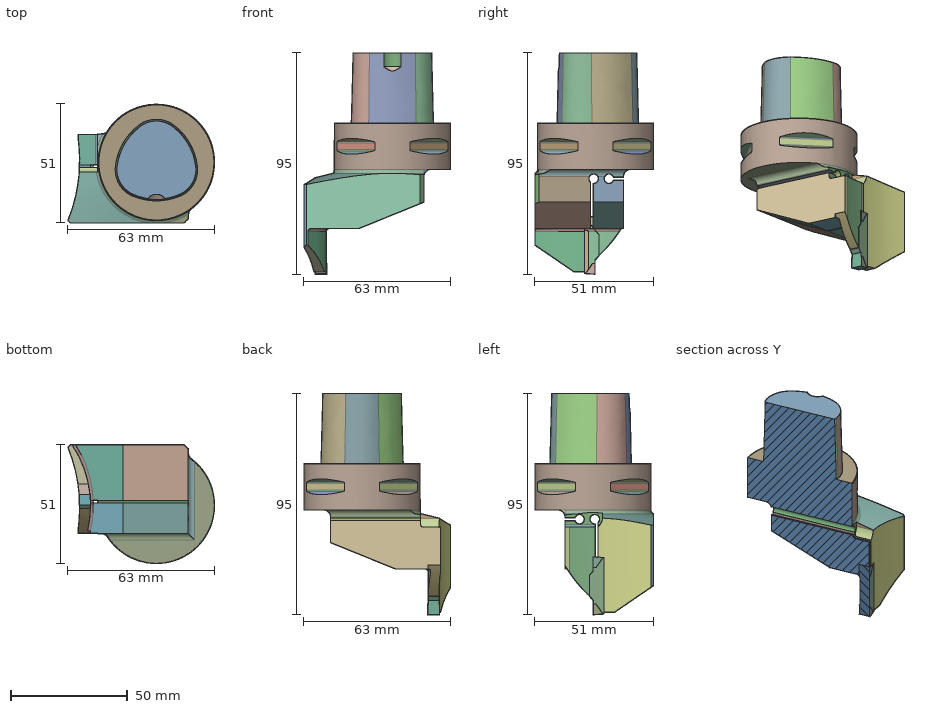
import cadquery as cq
import math


overall_length = 95.0

flange_radius = 25.0
flange_height = 20.0
flange_chamfer = 0.3
slot_floor_distance = 22.1
slot_floor_width = 3.7
slot_mouth_width = 6.7
slot_corner_radius = 0.7
slot_z = -flange_height / 2

shank_length = 30.0
diameter_taper = 1 / 20
shank_taper = math.degrees(math.atan(diameter_taper / 2))
lobe_reach = 18.5
flank_reach = 16.5
flank_center_offset = 9.5

notch_radius = 4.5
notch_center_y = -18.1
notch_depth = 5.9
notch_cone_height = 3.6

head_front_y = -26.0
head_back_y = 12.1
head_right_x = 13.6
head_left_x = -38.0
front_right_chamfer = 1.7
front_left_chamfer = 1.1
left_face_nearest = (-33.0, 0.95)
left_face_end = (-33.6, 10.2)
head_bottom_z = -45.3
head_slope_start_x = -14.25
head_slope_end_z = -34.0
cone_start_radius = 26.1
cone_start_z = -21.7
cone_slope = 0.25
envelope_radius = 57.0
wall_fillet = 2.85

blade_bottom_z = -63.9
blade_inner_x = -28.3
blade_inner_front_x = -36.2
blade_fillet = 1.2
blade_slope_top_z = -52.4
blade_slope_end_y = -9.2

jaw_wall_x = -25.2
jaw_top_z = -27.4
jaw_step_fillet = 1.0
step_end_y = -4.2
step_curve_top_z = -23.7
step_curve_middle = (-3.6, -25.3)
relief_diameter = 4.0
relief_z = -23.9
back_relief_y = 5.8
front_relief_y = -0.8
back_slit_width = 1.2
clamp_slit_front_y = -2.1
clamp_slit_back_y = -1.0
jaw_nose_start_z = -43.7
jaw_nose_middle = (5.7, -52.6)
jaw_nose_end = (1.4, -57.0)

insert_top_y = -0.1
insert_bottom_y = -4.75
insert_crown_y = 1.4
insert_upper_z = -40.1
insert_lower_z = shank_length - overall_length
insert_middle_z = (insert_upper_z + insert_lower_z) / 2
insert_end_relief = 0.3
insert_left_x = -33.1
insert_right_x = -28.4
cutting_left_x = -33.25
cutting_right_x = -28.1
cutting_length = 4.6
cutting_land = 1.2
cutting_relief_y = -4.0
cutting_relief_length = 0.8
crown_length = 9.3
crown_ramp = 1.7

reach = 95.0
margin = 0.95
tolerance = 0.1


def turned(point, degrees):
    """Rotate an XY point about the origin."""
    angle = math.radians(degrees)
    x, y = point
    return (
        x * math.cos(angle) - y * math.sin(angle),
        x * math.sin(angle) + y * math.cos(angle),
    )


def along_x(points, left_x, right_x):
    """Prism from a polygon of (y, z) points, running from left_x to right_x."""
    return cq.Workplane("YZ", origin=(left_x, 0, 0)).polyline(points).close().extrude(right_x - left_x)


def along_y(points, front_y, back_y):
    """Prism from a polygon of (x, z) points, running from front_y to back_y."""
    return cq.Workplane("XZ", origin=(0, back_y, 0)).polyline(points).close().extrude(back_y - front_y)


def block(x_range, y_range, z_range):
    sizes = [high - low for low, high in (x_range, y_range, z_range)]
    return cq.Workplane().box(*sizes, centered=False).translate((x_range[0], y_range[0], z_range[0]))


def make_shank():
    """Three lobe arcs joined by three tangent flank arcs, tapering towards the top."""
    step = lobe_reach - flank_reach
    lobe_center_offset = (2 * flank_center_offset * step - step**2) / (flank_center_offset - 2 * step)
    flank_radius = flank_reach + flank_center_offset
    half_angle = math.atan2(
        lobe_center_offset * math.sin(math.radians(60)),
        flank_center_offset + lobe_center_offset * math.cos(math.radians(60)),
    )
    seam_x = flank_radius * math.sin(half_angle)
    seam_y = flank_center_offset - flank_radius * math.cos(half_angle)
    outline = cq.Workplane().moveTo(-seam_x, seam_y)
    for angle in (0, 120, 240):
        outline = outline.threePointArc(turned((0, -flank_reach), angle), turned((seam_x, seam_y), angle))
        lobe_middle = turned((0, lobe_reach), angle - 120)
        outline = outline.threePointArc(lobe_middle, turned((-seam_x, seam_y), angle + 120))
    return outline.close().extrude(shank_length, taper=shank_taper)


def make_drive_notch():
    """Drilled notch with a conical floor."""
    floor_z = shank_length - notch_depth
    return (
        cq.Workplane("XZ")
        .moveTo(0, shank_length)
        .lineTo(notch_radius, shank_length)
        .lineTo(notch_radius, floor_z)
        .lineTo(0, floor_z - notch_cone_height)
        .close()
        .revolve(360, (0, 0, 0), (0, 1, 0))
        .translate((0, notch_center_y, 0))
    )


def make_gripper_slot():
    """Slot with sloping sides, cut along a chord of the flange."""
    slope = (slot_mouth_width - slot_floor_width) / 2 / (flange_radius - slot_floor_distance)
    depth = flange_radius + margin - slot_floor_distance
    half_floor = slot_floor_width / 2
    half_mouth = half_floor + slope * depth
    profile = [
        (slot_floor_distance, slot_z - half_floor),
        (slot_floor_distance + depth, slot_z - half_mouth),
        (slot_floor_distance + depth, slot_z + half_mouth),
        (slot_floor_distance, slot_z + half_floor),
    ]
    slot = along_y(profile, -flange_radius, flange_radius)
    return slot.faces("<X").edges("|Y").fillet(slot_corner_radius)


def make_flange():
    flange = cq.Workplane().circle(flange_radius).extrude(-flange_height)
    flange = flange.faces(">Z").edges().chamfer(flange_chamfer)
    for angle in (45, 135, 225, 315):
        flange = flange.cut(make_gripper_slot().rotate((0, 0, 0), (0, 0, 1), angle))
    return flange


def make_head_envelope():
    """Turned shape with a concave neck under the flange and a conical shoulder."""
    neck_width = cone_start_radius - flange_radius
    neck_height = -flange_height - cone_start_z
    bend = 1 - math.sqrt(0.5)
    shoulder_z = cone_start_z - cone_slope * (envelope_radius - cone_start_radius)
    return (
        cq.Workplane("XZ")
        .moveTo(0, -flange_height)
        .lineTo(flange_radius, -flange_height)
        .threePointArc(
            (flange_radius + neck_width * bend, cone_start_z + neck_height * bend),
            (cone_start_radius, cone_start_z),
        )
        .lineTo(envelope_radius, shoulder_z)
        .lineTo(envelope_radius, blade_bottom_z)
        .lineTo(0, blade_bottom_z)
        .close()
        .revolve(360, (0, 0, 0), (0, 1, 0))
    )


def make_neck_coves():
    """Concave fillets from the right and back walls of the head to the underside of the flange."""
    bottom_z = -flange_height - wall_fillet
    plate = block((-reach, reach), (-reach, reach), (-flange_height, 0))
    column = block((-reach, head_right_x), (-reach, head_back_y), (bottom_z - margin, -flange_height))
    coves = plate.union(column)
    wall_tops = cq.selectors.BoxSelector(
        (-reach - margin, -reach - margin, -flange_height - tolerance),
        (head_right_x + tolerance, head_back_y + tolerance, -flange_height + tolerance),
        boundingbox=True,
    )
    coves = coves.edges(wall_tops).fillet(wall_fillet)
    neck_zone = block(
        (left_face_nearest[0], head_right_x + wall_fillet),
        (head_front_y + front_right_chamfer, head_back_y + wall_fillet),
        (bottom_z, -flange_height),
    )
    return coves.intersect(neck_zone).intersect(make_head_envelope())


def make_head_outline():
    """Head footprint, with a concave left face, over the full height of the head."""
    return (
        cq.Workplane()
        .moveTo(head_left_x + front_left_chamfer, head_front_y)
        .lineTo(head_right_x - front_right_chamfer, head_front_y)
        .lineTo(head_right_x, head_front_y + front_right_chamfer)
        .lineTo(head_right_x, head_back_y)
        .lineTo(left_face_end[0], head_back_y)
        .lineTo(*left_face_end)
        .threePointArc(left_face_nearest, (head_left_x, head_front_y + front_left_chamfer))
        .close()
        .extrude(blade_bottom_z)
    )


def make_blade_clearance():
    """Space below the head, beside the curved inner face of the blade."""
    mirrored_y = -head_front_y
    return (
        cq.Workplane(origin=(0, 0, head_bottom_z))
        .moveTo(blade_inner_front_x, head_front_y)
        .threePointArc((blade_inner_x, 0), (blade_inner_front_x, mirrored_y))
        .lineTo(reach, mirrored_y)
        .lineTo(reach, head_front_y)
        .close()
        .extrude(-reach)
    )


def make_head_slope():
    """Sloping underside at the right of the head."""
    points = [
        (head_slope_start_x, head_bottom_z),
        (head_right_x, head_slope_end_z),
        (head_right_x, head_bottom_z),
    ]
    return along_y(points, -reach, reach)


def make_blade_slope():
    """Sloping underside at the front of the blade."""
    points = [
        (head_front_y, blade_slope_top_z),
        (blade_slope_end_y, blade_bottom_z),
        (head_front_y, blade_bottom_z),
    ]
    return along_x(points, -reach, reach)


def make_jaw_nose_clearance():
    """Space behind the rounded nose of the clamping jaw."""
    return (
        cq.Workplane("YZ", origin=(blade_inner_x, 0, 0))
        .moveTo(head_back_y, jaw_nose_start_z)
        .threePointArc(jaw_nose_middle, jaw_nose_end)
        .lineTo(insert_top_y, jaw_nose_end[1] - crown_ramp)
        .lineTo(insert_top_y, blade_bottom_z)
        .lineTo(head_back_y, blade_bottom_z)
        .close()
        .extrude(-reach)
    )


def make_jaw_step():
    """Step that lowers the top of the clamping jaw in front of an upright wall."""
    step = (
        cq.Workplane("YZ", origin=(jaw_wall_x, 0, 0))
        .moveTo(step_end_y, 0)
        .lineTo(step_end_y, step_curve_top_z)
        .threePointArc(step_curve_middle, (clamp_slit_front_y, jaw_top_z))
        .lineTo(reach, jaw_top_z)
        .lineTo(reach, 0)
        .close()
        .extrude(-reach)
    )
    step = step.faces("<Z").edges(">X").fillet(jaw_step_fillet)
    flange_space = cq.Workplane().circle(flange_radius).extrude(-flange_height)
    return step.cut(flange_space)


def make_clamp_slits():
    """Two relief holes, the slit from the back face and the slit down to the insert."""
    holes = (
        cq.Workplane("YZ", origin=(-reach, 0, 0))
        .pushPoints([(back_relief_y, relief_z), (front_relief_y, relief_z)])
        .circle(relief_diameter / 2)
        .extrude(2 * reach)
    )
    through = (-reach, reach)
    half_slit = back_slit_width / 2
    back_slit = block(through, (back_relief_y, reach), (relief_z - half_slit, relief_z + half_slit))
    clamp_slit = block(through, (clamp_slit_front_y, clamp_slit_back_y), (head_bottom_z, relief_z))
    return holes.union(back_slit).union(clamp_slit)


def make_cutting_end():
    """Lower cutting end, wider than the insert shank and relieved on both flanks."""
    end_top_z = insert_lower_z + cutting_length
    flanks = (
        cq.Workplane(origin=(0, 0, insert_lower_z))
        .polyline([
            (cutting_left_x, insert_top_y),
            (cutting_right_x, insert_top_y),
            (insert_right_x, insert_bottom_y),
            (insert_left_x, insert_bottom_y),
        ])
        .close()
        .extrude(cutting_length)
    )
    side = [
        (insert_top_y, insert_lower_z),
        (insert_top_y, end_top_z),
        (insert_top_y - cutting_land, end_top_z),
        (cutting_relief_y, insert_lower_z + cutting_relief_length),
        (insert_bottom_y, insert_lower_z + insert_end_relief),
    ]
    return flanks.intersect(along_x(side, cutting_left_x, cutting_right_x))


def make_insert_shank(left_x):
    """Insert section with the raised crown, running from left_x to its right flank."""
    half_crown = crown_length / 2
    half_ramp = half_crown + crown_ramp
    side = [
        (insert_bottom_y, insert_lower_z + insert_end_relief),
        (insert_top_y, insert_lower_z),
        (insert_top_y, insert_middle_z - half_ramp),
        (insert_crown_y, insert_middle_z - half_crown),
        (insert_crown_y, insert_middle_z + half_crown),
        (insert_top_y, insert_middle_z + half_ramp),
        (insert_top_y, insert_upper_z),
        (insert_bottom_y, insert_upper_z - insert_end_relief),
    ]
    return along_x(side, left_x, insert_right_x)


def make_insert():
    """Insert shank between two identical cutting ends."""
    lower_end = make_cutting_end()
    upper_end = lower_end.mirror("XY", (0, 0, insert_middle_z))
    return make_insert_shank(insert_left_x).union(lower_end).union(upper_end)


def make_holder(insert):
    """Shank, flange, head and blade in one piece, with the pocket for the insert."""
    head = make_head_outline().intersect(make_head_envelope())
    head = head.cut(make_blade_clearance()).cut(make_head_slope())
    root = cq.selectors.BoxSelector(
        (blade_inner_front_x - margin, head_front_y - margin, head_bottom_z - tolerance),
        (blade_inner_x + margin, head_back_y + margin, head_bottom_z + tolerance),
        boundingbox=True,
    )
    head = head.edges(root).fillet(blade_fillet)
    head = head.cut(make_blade_slope()).cut(make_jaw_nose_clearance())

    body = make_flange().union(head.union(make_neck_coves()))
    body = body.cut(make_jaw_step()).cut(make_clamp_slits())
    body = body.union(make_shank()).cut(make_drive_notch())
    pocket = make_insert_shank(head_left_x)
    return body.cut(pocket).cut(insert)


cutting_insert = make_insert()
holder = make_holder(cutting_insert)
result = cq.Compound.makeCompound([holder.val(), cutting_insert.val()])